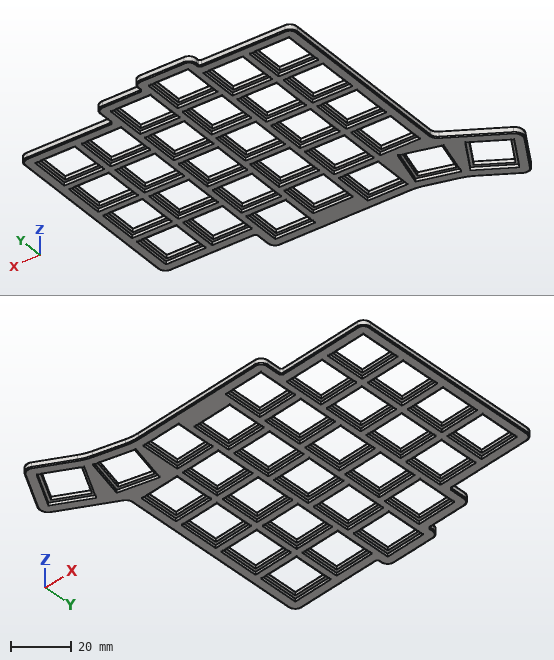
import cadquery as cq
import math

overall_width = 143.8
overall_depth = 119.0
thickness = 2.7
edge_chamfer = 0.4

switch_opening = 14.0
recess_margin = 1.18
recess_depth = 1.25

pitch = 19.0
column_block_width = 119.0
high_step = pitch / 4
low_step = -pitch / 2
long_column = 5
short_column = 4
columns = [
    (0, short_column),
    (0, long_column),
    (high_step, long_column),
    (0, long_column),
    (low_step, short_column),
    (low_step, short_column),
]
tab_column = 2
last_full_column = 3

edge_margin = (column_block_width - (len(columns) - 1) * pitch) / 2

corner_radius = 3.0
step_radius = 0.7
sweep_radius = 20.1
thumb_tip_radius = 3.7

right = overall_width / 2
left = right - column_block_width
top = overall_depth / 2
first_column_x = left + edge_margin
first_row_y = top - edge_margin - high_step
last_row_y = first_row_y - (long_column - 1) * pitch

inner_tilt = 15
inner_thumb_offset = 21.1
inner_thumb_drop = 2.7
inner_thumb = (first_column_x + pitch - inner_thumb_offset, last_row_y - inner_thumb_drop)

outer_tilt = 30
reach_factor = math.cos(math.radians(outer_tilt)) + math.sin(math.radians(outer_tilt))
reach_left = (edge_margin - thumb_tip_radius) * reach_factor + thumb_tip_radius
reach_down = (edge_margin - corner_radius) * reach_factor + corner_radius
outer_thumb = (-overall_width / 2 + reach_left, -overall_depth / 2 + reach_down)


def column_x(index):
    return first_column_x + index * pitch


def tilted_point(center, tilt, along, across):
    """Point given in the axes of a key tilted about its center."""
    c = math.cos(math.radians(tilt))
    s = math.sin(math.radians(tilt))
    return (center[0] + along * c - across * s, center[1] + along * s + across * c)


def line_crossing(point_a, angle_a, point_b, angle_b):
    """Crossing of two lines, each given by a point and an angle in degrees."""
    ax, ay = math.cos(math.radians(angle_a)), math.sin(math.radians(angle_a))
    bx, by = math.cos(math.radians(angle_b)), math.sin(math.radians(angle_b))
    dx, dy = point_b[0] - point_a[0], point_b[1] - point_a[1]
    distance = (dx * by - dy * bx) / (ax * by - ay * bx)
    return (point_a[0] + distance * ax, point_a[1] + distance * ay)


def outline_corners():
    """Sharp corners of the plate, clockwise from the top left, each with its radius."""
    upper_y = first_row_y + edge_margin
    lower_y = last_row_y - edge_margin
    tab_left = column_x(tab_column) - edge_margin
    tab_right = column_x(tab_column) + edge_margin
    step_x = column_x(last_full_column) + edge_margin
    wing_top = upper_y + low_step
    wing_bottom = first_row_y + low_step - (short_column - 1) * pitch - edge_margin
    thumb_bottom_left = tilted_point(outer_thumb, outer_tilt, -edge_margin, -edge_margin)
    thumb_top_left = tilted_point(outer_thumb, outer_tilt, -edge_margin, edge_margin)
    inner_bottom = tilted_point(inner_thumb, inner_tilt, 0, -edge_margin)
    return [
        ((left, upper_y), corner_radius),
        ((tab_left, upper_y), step_radius),
        ((tab_left, top), corner_radius),
        ((tab_right, top), corner_radius),
        ((tab_right, upper_y), step_radius),
        ((step_x, upper_y), corner_radius),
        ((step_x, wing_top), step_radius),
        ((right, wing_top), corner_radius),
        ((right, wing_bottom), corner_radius),
        ((step_x, wing_bottom), step_radius),
        ((step_x, lower_y), corner_radius),
        (line_crossing((left, lower_y), 0, inner_bottom, inner_tilt), sweep_radius),
        (line_crossing(inner_bottom, inner_tilt, thumb_bottom_left, outer_tilt), sweep_radius),
        (thumb_bottom_left, corner_radius),
        (thumb_top_left, thumb_tip_radius),
        (line_crossing(thumb_top_left, outer_tilt, (left, top), 90), corner_radius),
    ]


def round_corner(before, corner, after, radius):
    """Start, middle and end of the arc that rounds a corner."""
    vertex = cq.Vector(*corner)
    to_before = (cq.Vector(*before) - vertex).normalized()
    to_after = (cq.Vector(*after) - vertex).normalized()
    half_angle = to_before.getAngle(to_after) / 2
    setback = radius / math.tan(half_angle)
    bisector = (to_before + to_after).normalized()
    start = vertex + to_before * setback
    middle = vertex + bisector * (radius / math.sin(half_angle) - radius)
    end = vertex + to_after * setback
    return [(point.x, point.y) for point in (start, middle, end)]


def plate_blank():
    """Solid plate with rounded corners and both rims chamfered."""
    corners = outline_corners()
    outline = cq.Workplane("XY")
    for i, (corner, radius) in enumerate(corners):
        before = corners[i - 1][0]
        after = corners[(i + 1) % len(corners)][0]
        start, middle, end = round_corner(before, corner, after, radius)
        outline = outline.moveTo(*start) if i == 0 else outline.lineTo(*start)
        outline = outline.threePointArc(middle, end)
    blank = outline.close().extrude(thickness)
    return blank.faces("<Z or >Z").edges().chamfer(edge_chamfer)


def switch_cutter(center, tilt=0):
    """Square opening with a wider square recess on the underside."""
    recess_size = switch_opening + 2 * recess_margin
    opening = cq.Workplane("XY").rect(switch_opening, switch_opening).extrude(thickness)
    recess = cq.Workplane("XY").rect(recess_size, recess_size).extrude(recess_depth)
    cutter = opening.union(recess).rotate((0, 0, 0), (0, 0, 1), tilt)
    return cutter.translate((center[0], center[1], 0))


plate = plate_blank()
for index, (step, key_count) in enumerate(columns):
    for row in range(key_count):
        key_center = (column_x(index), first_row_y + step - row * pitch)
        plate = plate.cut(switch_cutter(key_center))
plate = plate.cut(switch_cutter(inner_thumb, inner_tilt))
plate = plate.cut(switch_cutter(outer_thumb, outer_tilt))

result = plate